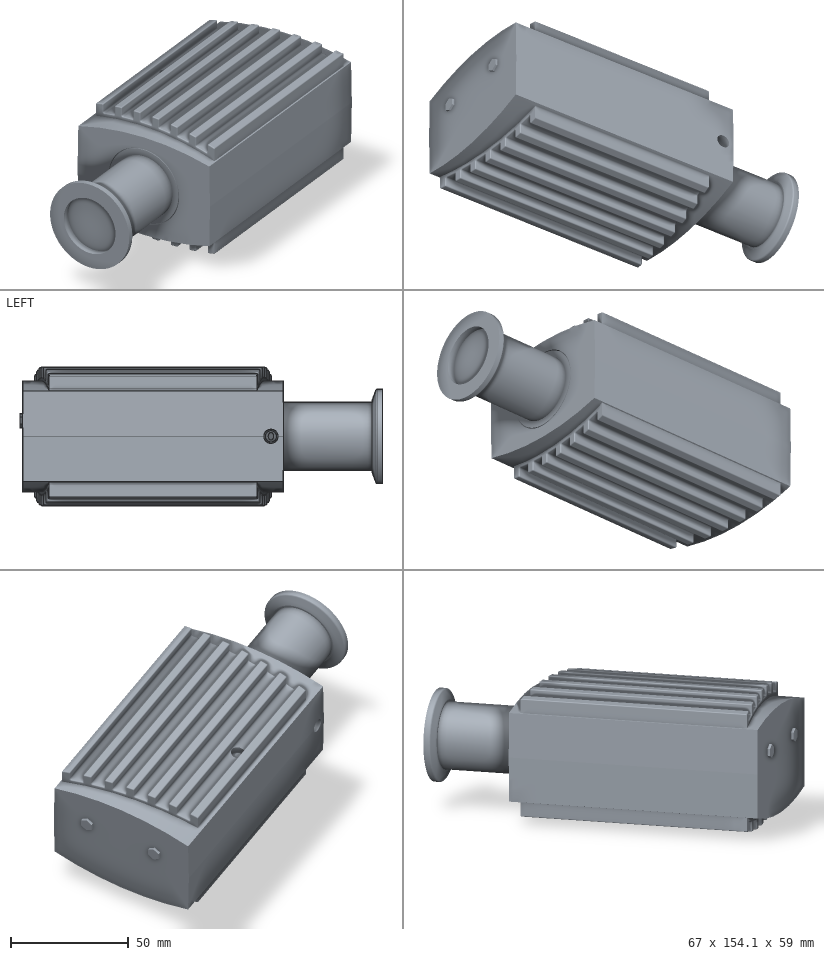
import cadquery as cq
import math

total_length = 154.1
total_height = 59.0

housing_length = 110.6
crease_width = 67.0
edge_width = 66.3
edge_height = 38.5
crown_height = 47.2

fin_count = 7
fin_pitch = 10.0
fin_width = 3.7
fin_offset = 0.6
floor_thickness = 1.5
fin_row_half_width = fin_pitch * (fin_count - 1) / 2 + fin_width / 2
sink_left_x = fin_offset - fin_row_half_width
sink_right_x = fin_offset + fin_row_half_width
sink_left_margin = 11.1
sink_right_margin = 5.0
root_fillet = 0.6
base_fillet = 0.6
rim_fillet = 0.5

well_diameter = 6.0
well_floor_z = 20.0
trim_tip_diameter = 2.5
trim_height = 1.5

access_y = 5.2
access_diameter = 6.0
access_depth = 6.2
access_step_diameter = 4.8
access_step_depth = 1.5
access_slot_width = 2.3
access_slot_height = 3.2
access_slot_depth = 1.5

collar_diameter = 35.0
collar_bore_diameter = 35.8
collar_depth = 1.5
tube_diameter = 29.0
flange_diameter = 40.0
flange_neck_diameter = 30.8
flange_taper = 1.7
flange_rim = 2.8
flange_fillet = 0.8
port_diameter = 26.2
port_depth = 3.4

connector_z = 6.6
connector_width = 39.1
connector_height = 12.5
connector_thickness = 1.5
connector_corner = 0.8
jack_spacing = 33.3
jack_across_corners = 6.0
jack_height = 1.2
jack_sides = 6
jack_turn = 90

crown_rise = (crown_height - edge_height) / 2
crown_radius = ((edge_width / 2) ** 2 + crown_rise**2) / (2 * crown_rise)
crown_center_z = crown_height / 2 - crown_radius
floor_radius = crown_radius + floor_thickness
tip_radius = total_height / 2 - crown_center_z
edge_tolerance = 0.23
tube_length = total_length - housing_length - jack_height


def crown_cylinder(radius):
    """Cylinder along Y, concentric with the top crown."""
    return (
        cq.Workplane("XZ", origin=(0, 0, crown_center_z))
        .circle(radius)
        .extrude(-housing_length)
    )


def block():
    """Housing block with drafted sides and crowned top and bottom."""
    return (
        cq.Workplane("XZ")
        .moveTo(-edge_width / 2, edge_height / 2)
        .threePointArc((0, crown_height / 2), (edge_width / 2, edge_height / 2))
        .lineTo(crease_width / 2, 0)
        .lineTo(edge_width / 2, -edge_height / 2)
        .threePointArc((0, -crown_height / 2), (-edge_width / 2, -edge_height / 2))
        .lineTo(-crease_width / 2, 0)
        .close()
        .extrude(-housing_length)
    )


def fin_x(index):
    return fin_offset + (index - (fin_count - 1) / 2) * fin_pitch


def channel(center_x):
    """Cutter for one channel, with rounded lower edges."""
    width = fin_pitch - fin_width
    bar = (
        cq.Workplane("XY")
        .box(width, housing_length, total_height, centered=(True, False, False))
        .translate((center_x, 0, 0))
        .cut(crown_cylinder(floor_radius))
    )
    return bar.edges("|Y").edges("not >Z").fillet(root_fillet)


def crown_distance(edge):
    """Distance of the middle of an edge from the axis of the crown on its side of Z = 0."""
    middle = edge.Center()
    return math.hypot(middle.x, abs(middle.z) - crown_center_z)


def runs_along_y(edge):
    return abs(edge.tangentAt(0).y) > 0.99


def is_rim(edge):
    """True for the edges of the fin tips and those that outline the fins and channels at the sink ends."""
    if runs_along_y(edge):
        return crown_distance(edge) > tip_radius - edge_tolerance
    return crown_distance(edge) > crown_radius


def is_left_base(edge):
    """True for the edges where the left side of a sink stands on the crown."""
    on_crown = abs(crown_distance(edge) - crown_radius) < edge_tolerance
    on_left_side = abs(edge.Center().x - sink_left_x) < edge_tolerance
    return runs_along_y(edge) and on_crown and on_left_side


def heat_sink():
    """Crowned plate with seven fins and slanted ends, reaching down into the block."""
    plan = (
        cq.Workplane("XY")
        .moveTo(sink_left_x, sink_left_margin)
        .lineTo(sink_right_x, sink_right_margin)
        .lineTo(sink_right_x, housing_length - sink_right_margin)
        .lineTo(sink_left_x, housing_length - sink_left_margin)
        .close()
        .extrude(total_height)
    )
    sink = plan.intersect(crown_cylinder(tip_radius))
    for index in range(fin_count - 1):
        sink = sink.cut(channel(fin_x(index) + fin_pitch / 2))
    return sink.edges().filter(is_rim).fillet(rim_fillet)


def finned_block():
    """Block with both heat sinks, blended into the crowns along their left sides."""
    sink = heat_sink()
    finned = block().union(sink).union(sink.mirror("XY"))
    return finned.edges().filter(is_left_base).fillet(base_fillet)


def trim_well():
    """Cutter for the well, leaving a conical trimmer on its floor."""
    x = fin_x(0) + fin_pitch / 2
    y = housing_length / 2
    well = cq.Workplane("XY", origin=(x, y, well_floor_z)).circle(well_diameter / 2).extrude(total_height)
    trimmer = (
        cq.Workplane("XZ", origin=(x, y, well_floor_z))
        .lineTo(well_diameter / 2, 0)
        .lineTo(trim_tip_diameter / 2, trim_height)
        .lineTo(0, trim_height)
        .close()
        .revolve(360, (0, 0), (0, 1))
    )
    return well.cut(trimmer)


def access_hole():
    """Cutter for the stepped hole, entering from -X."""
    start_x = -crease_width / 2
    step_x = start_x + access_depth
    slot_x = step_x + access_step_depth
    bore = (
        cq.Workplane("YZ", origin=(start_x, access_y, 0)).circle(access_diameter / 2).extrude(access_depth)
    )
    step = (
        cq.Workplane("YZ", origin=(step_x, access_y, 0))
        .circle(access_step_diameter / 2)
        .extrude(access_step_depth)
    )
    slot = (
        cq.Workplane("YZ", origin=(slot_x, access_y, 0))
        .ellipse(access_slot_width / 2, access_slot_height / 2)
        .extrude(access_slot_depth)
    )
    return bore.union(step).union(slot)


def collar_bore():
    """Cutter for the bore that takes the collar with a narrow gap around it."""
    return cq.Workplane("XZ").circle(collar_bore_diameter / 2).extrude(-collar_depth)


def vacuum_tube():
    """Tube with a flush collar in the housing and a tapered flange with a shallow port."""
    taper_y = -tube_length + flange_rim + flange_taper
    rim_y = -tube_length + flange_rim
    tube = (
        cq.Workplane("XY")
        .moveTo(0, collar_depth)
        .lineTo(collar_diameter / 2, collar_depth)
        .lineTo(collar_diameter / 2, 0)
        .lineTo(tube_diameter / 2, 0)
        .lineTo(tube_diameter / 2, taper_y)
        .lineTo(flange_neck_diameter / 2, taper_y)
        .lineTo(flange_diameter / 2, rim_y)
        .lineTo(flange_diameter / 2, -tube_length)
        .lineTo(0, -tube_length)
        .close()
        .revolve(360, (0, 0), (0, 1))
    )
    port = cq.Workplane("XZ", origin=(0, -tube_length, 0)).circle(port_diameter / 2).extrude(-port_depth)
    tube = tube.edges(cq.selectors.RadiusNthSelector(-1)).edges(">Y").fillet(flange_fillet)
    return tube.cut(port)


def connector_plate():
    """Plate flush with the rear face of the housing."""
    return (
        cq.Workplane("XZ", origin=(0, housing_length, connector_z))
        .rect(connector_width, connector_height)
        .extrude(connector_thickness)
        .edges("|Y")
        .fillet(connector_corner)
    )


def rear_connector():
    """Connector plate with two hexagonal jack sockets, corners pointing up and down."""
    jacks = (
        cq.Workplane("XZ", origin=(0, housing_length, connector_z))
        .transformed(rotate=(0, 0, jack_turn))
        .pushPoints([(0, -jack_spacing / 2), (0, jack_spacing / 2)])
        .polygon(jack_sides, jack_across_corners)
        .extrude(-jack_height)
    )
    return connector_plate().union(jacks)


tube = vacuum_tube()
connector = rear_connector()

housing = (
    finned_block()
    .cut(trim_well())
    .cut(access_hole())
    .cut(collar_bore())
    .cut(connector_plate())
)

result = cq.Compound.makeCompound([housing.val(), tube.val(), connector.val()])